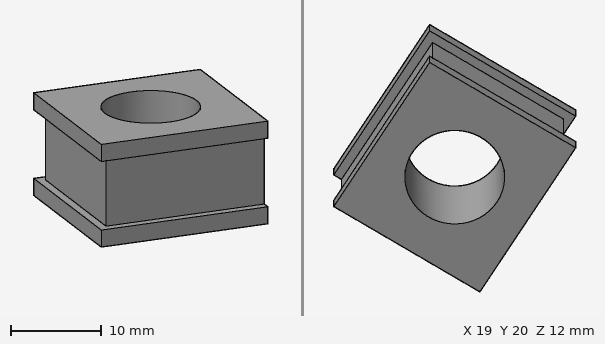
import cadquery as cq

width = 19.0
depth = 20.0
height = 12.0

flange_thickness = 2.0
flange_overhang = 1.0
bore_diameter = 11.0

core_width = width - 2 * flange_overhang
core_depth = depth - flange_overhang
core_height = height - 2 * flange_thickness


def flange(bottom_z):
    """Rectangular end plate with its underside at bottom_z."""
    return (
        cq.Workplane("XY")
        .workplane(offset=bottom_z)
        .rect(width, depth)
        .extrude(flange_thickness)
    )


core = (
    cq.Workplane("XY")
    .workplane(offset=flange_thickness)
    .center(0, flange_overhang / 2)
    .rect(core_width, core_depth)
    .extrude(core_height)
)

bore = cq.Workplane("XY").circle(bore_diameter / 2).extrude(height)

lower_flange = flange(0)
upper_flange = flange(height - flange_thickness)
result = core.union(lower_flange).union(upper_flange).cut(bore)